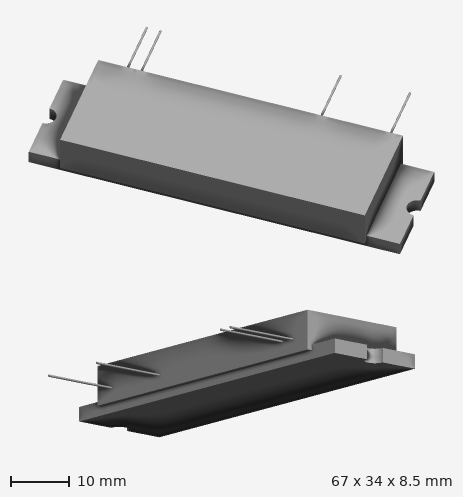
import cadquery as cq

base_length = 67.0
base_depth = 18.0
base_height = 2.55
notch_diameter = 3.6

cover_length = 55.0
cover_depth = 19.95
cover_bottom = 1.55
cover_top = 8.5

lead_diameter = 0.4
lead_length = 14.0
lead_height = 4.0
lead_positions = [-23.5, -21.05, 11.45, 24.0]


def make_base():
    """Flat plate with a half-round screw notch in the middle of each end."""
    plate = cq.Workplane("XY").box(base_length, base_depth, base_height, centered=(True, True, False))
    notches = (
        cq.Workplane("XY")
        .pushPoints([(-base_length / 2, 0), (base_length / 2, 0)])
        .circle(notch_diameter / 2)
        .extrude(base_height)
    )
    return plate.cut(notches)


def make_cover():
    """Rectangular block that overhangs the long sides of the base."""
    return (
        cq.Workplane("XY", origin=(0, 0, cover_bottom))
        .box(cover_length, cover_depth, cover_top - cover_bottom, centered=(True, True, False))
    )


def make_leads():
    """Straight round pins starting on the +Y face of the cover."""
    cover_face = cq.Workplane("XZ", origin=(0, cover_depth / 2, 0))
    return (
        cover_face
        .pushPoints([(x, lead_height) for x in lead_positions])
        .circle(lead_diameter / 2)
        .extrude(-lead_length)
    )


result = make_base().union(make_cover()).union(make_leads())